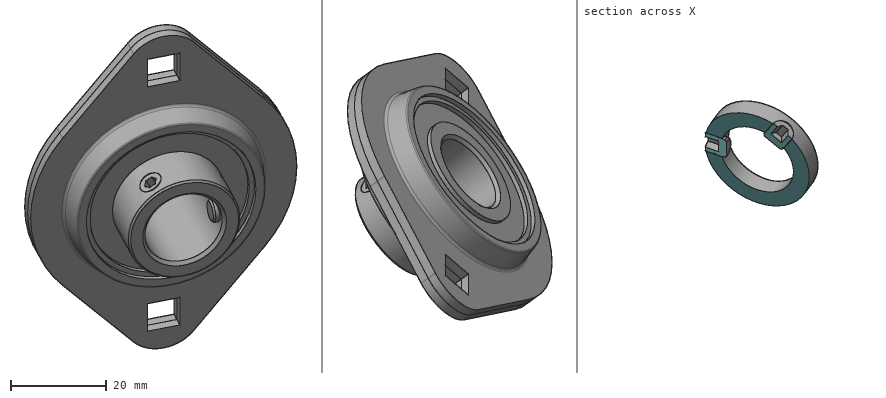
import cadquery as cq
import math


overall_height = 81.0
overall_length = 23.0

sheet = 2.0
body_radius = 29.4
bolt_offset = 31.75
tip_radius = overall_height / 2 - bolt_offset
bolt_square = 7.1
shell_width = 14.0
shell_reach = shell_width / 2
shell_base_radius = 22.0
shell_end_radius = 20.7
root_fillet = 0.65
shell_edge_fillet = 0.3

ring_radius = 18.7
ring_half_width = 6.0
bore_radius = 8.5
bore_chamfer = 0.7
collar_radius = 12.3
collar_end = overall_length - shell_reach
collar_chamfer = 0.4
seal_radius = 17.6
seal_depth = 1.0

screw_radius = 2.5
screw_x = 11.5
screw_outer = 12.15
screw_inner = 7.1
screw_length = screw_outer - screw_inner
screw_tip_chamfer = 0.4
socket_across_flats = 2.5
socket_corner_diameter = socket_across_flats / math.cos(math.radians(30))
socket_depth = 3.1
screw_angles = (0, 120)


def flange_outline():
    """Two small tip arcs and two large side arcs joined by tangent lines, in the YZ plane."""
    sine = (body_radius - tip_radius) / bolt_offset
    cosine = math.sqrt(1 - sine**2)
    side_y = body_radius * cosine
    side_z = body_radius * sine
    tip_y = tip_radius * cosine
    tip_z = bolt_offset + tip_radius * sine
    top_z = bolt_offset + tip_radius
    return (
        cq.Workplane("YZ")
        .moveTo(side_y, -side_z)
        .threePointArc((body_radius, 0), (side_y, side_z))
        .lineTo(tip_y, tip_z)
        .threePointArc((0, top_z), (-tip_y, tip_z))
        .lineTo(-side_y, side_z)
        .threePointArc((-body_radius, 0), (-side_y, -side_z))
        .lineTo(-tip_y, -tip_z)
        .threePointArc((0, -top_z), (tip_y, -tip_z))
        .close()
    )


def make_right_housing_half():
    """The half on the +X side: flange, conical shell, bearing seat and square bolt holes."""
    flange = flange_outline().extrude(sheet)
    shell = (
        cq.Workplane("XY")
        .polyline(
            [
                (0, 0),
                (0, shell_base_radius),
                (sheet, shell_base_radius),
                (shell_reach, shell_end_radius),
                (shell_reach, 0),
            ]
        )
        .close()
        .revolve(360, (0, 0, 0), (1, 0, 0))
        .faces(">X")
        .edges()
        .fillet(shell_edge_fillet)
    )
    root_circle = cq.selectors.RadiusNthSelector(-1)
    half = flange.union(shell)
    half = half.faces("%CONE").edges(root_circle).fillet(root_fillet)
    bolt_holes = (
        cq.Workplane("YZ")
        .pushPoints([(0, bolt_offset), (0, -bolt_offset)])
        .rect(bolt_square, bolt_square)
        .extrude(sheet)
    )
    seat = cq.Workplane("YZ").circle(ring_radius).extrude(shell_reach)
    return half.cut(bolt_holes).cut(seat)


def make_set_screw(angle):
    """A set screw with a hexagon socket outside and a chamfered tip inside the bore."""
    socket = (
        cq.Workplane("XZ", origin=(screw_x, screw_outer, 0))
        .transformed(rotate=(0, 0, 90))
        .polygon(6, socket_corner_diameter)
        .extrude(socket_depth)
    )
    screw = (
        cq.Workplane("XZ", origin=(screw_x, screw_outer, 0))
        .circle(screw_radius)
        .extrude(screw_length)
        .faces("<Y")
        .chamfer(screw_tip_chamfer)
        .cut(socket)
    )
    return screw.rotate((0, 0, 0), (1, 0, 0), angle)


def make_bearing():
    """Outer ring, recessed seals and an inner ring with a collar on the +X side."""
    seal_face = ring_half_width - seal_depth
    bearing = (
        cq.Workplane("XY")
        .moveTo(-ring_half_width + bore_chamfer, bore_radius)
        .lineTo(-ring_half_width, bore_radius + bore_chamfer)
        .lineTo(-ring_half_width, collar_radius)
        .lineTo(-seal_face, collar_radius)
        .lineTo(-seal_face, seal_radius)
        .lineTo(-ring_half_width, seal_radius)
        .lineTo(-ring_half_width, ring_radius)
        .lineTo(ring_half_width, ring_radius)
        .lineTo(ring_half_width, seal_radius)
        .lineTo(seal_face, seal_radius)
        .lineTo(seal_face, collar_radius)
        .lineTo(collar_end - collar_chamfer, collar_radius)
        .lineTo(collar_end, collar_radius - collar_chamfer)
        .lineTo(collar_end, bore_radius + bore_chamfer)
        .lineTo(collar_end - bore_chamfer, bore_radius)
        .close()
        .revolve(360, (0, 0, 0), (1, 0, 0))
    )
    for angle in screw_angles:
        screw_hole = (
            cq.Workplane("XZ", origin=(screw_x, 0, 0))
            .circle(screw_radius)
            .extrude(-collar_radius)
            .rotate((0, 0, 0), (1, 0, 0), angle)
        )
        bearing = bearing.cut(screw_hole)
    return bearing


right_housing_half = make_right_housing_half()
left_housing_half = right_housing_half.mirror("YZ")
bearing = make_bearing()
set_screws = [make_set_screw(angle) for angle in screw_angles]

result = cq.Compound.makeCompound(
    [
        right_housing_half.val(),
        left_housing_half.val(),
        bearing.val(),
        *[screw.val() for screw in set_screws],
    ]
)